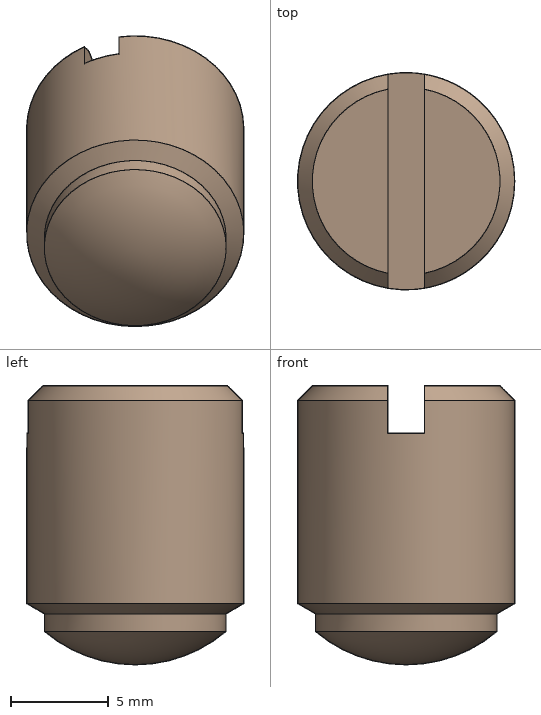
import cadquery as cq
import math

height = 14.27
body_radius = 11.1 / 2
tip_radius = 9.29 / 2

top_chamfer = 0.75
slot_width = 1.85
slot_depth = 2.43

dome_height = 1.71
neck_height = 0.9
cone_angle = 30.0
neck_top = dome_height + neck_height
cone_top = neck_top + (body_radius - tip_radius) * math.tan(math.radians(cone_angle))

dome_radius = (tip_radius**2 + dome_height**2) / (2 * dome_height)
half_arc_angle = math.asin(tip_radius / dome_radius) / 2
dome_mid_point = (
    dome_radius * math.sin(half_arc_angle),
    dome_radius * (1 - math.cos(half_arc_angle)),
)


def make_body():
    """Revolve the half profile about Z, with the dome's lowest point at the origin."""
    return (
        cq.Workplane("XZ")
        .moveTo(0, 0)
        .threePointArc(dome_mid_point, (tip_radius, dome_height))
        .lineTo(tip_radius, neck_top)
        .lineTo(body_radius, cone_top)
        .lineTo(body_radius, height - top_chamfer)
        .lineTo(body_radius - top_chamfer, height)
        .lineTo(0, height)
        .close()
        .revolve(360, (0, 0, 0), (0, 1, 0))
    )


def make_slot():
    """Straight slot along Y, open at both sides and at the top."""
    slot_length = 3 * body_radius
    return (
        cq.Workplane("XY")
        .workplane(offset=height - slot_depth)
        .rect(slot_width, slot_length)
        .extrude(slot_depth)
    )


result = make_body().cut(make_slot())